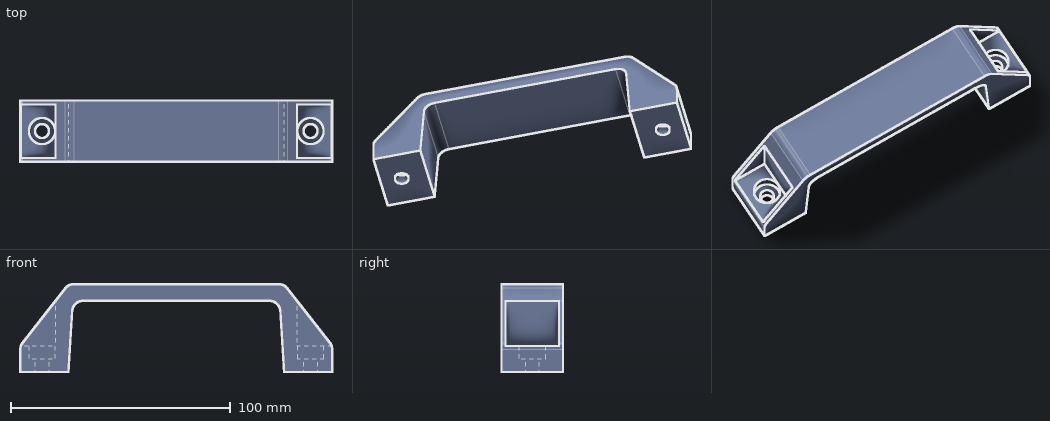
import cadquery as cq

length = 142.0
width = 28.0
height = 40.0

grip_thickness = 7.7
foot_length = 22.0
shoulder_height = 11.9
shoulder_inset = 22.0
leg_lean = 2.0
bend_radius = 5.0

pocket_wall = 1.8
pocket_depth = 16.0
pocket_floor = shoulder_height

hole_inset = 10.0
hole_diameter = 6.2
counterbore_diameter = 11.9
counterbore_depth = 6.0

half_length = length / 2
underside = height - grip_thickness
foot_inner_x = half_length - foot_length
grip_inner_x = foot_inner_x - leg_lean


def make_handle_body():
    """Extrude the bridge outline across the width and round its bends."""
    right_half = [
        (grip_inner_x, underside),
        (foot_inner_x, 0),
        (half_length, 0),
        (half_length, shoulder_height),
        (half_length - shoulder_inset, height),
    ]
    left_half = [(-x, z) for x, z in reversed(right_half)]
    body = (
        cq.Workplane("XZ")
        .polyline(right_half + left_half)
        .close()
        .extrude(width / 2, both=True)
    )
    bends = body.edges("|Y").edges("not <Z")
    return bends.fillet(bend_radius)


def make_pocket(side):
    """Box open to the sloping end, leaving a thin wall on each flank."""
    return (
        cq.Workplane("XY", origin=(side * (half_length - pocket_depth / 2), 0, pocket_floor))
        .rect(pocket_depth, width - 2 * pocket_wall)
        .extrude(height - pocket_floor)
    )


def make_screw_hole(side):
    """Through hole with a counterbore sunk into the pocket floor."""
    center_x = side * (half_length - hole_inset)
    hole = cq.Workplane("XY", origin=(center_x, 0, 0)).circle(hole_diameter / 2).extrude(pocket_floor)
    counterbore = (
        cq.Workplane("XY", origin=(center_x, 0, pocket_floor - counterbore_depth))
        .circle(counterbore_diameter / 2)
        .extrude(counterbore_depth)
    )
    return hole.union(counterbore)


result = make_handle_body()
for end in (-1, 1):
    result = result.cut(make_pocket(end)).cut(make_screw_hole(end))